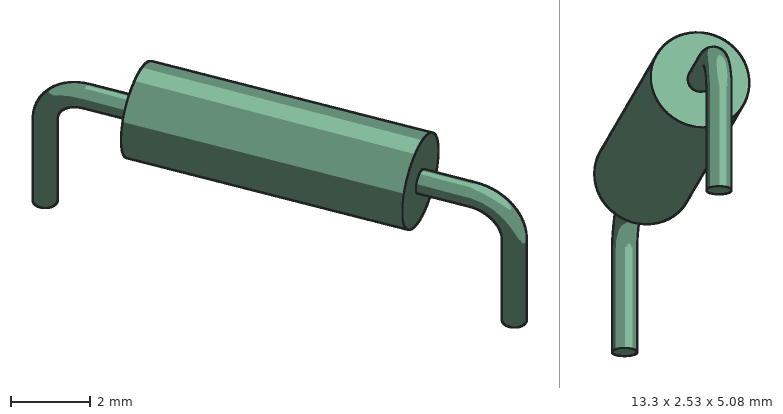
import cadquery as cq

total_length = 13.34
total_height = 5.08

body_length = 7.62
body_diameter = 2.53

wire_diameter = 0.64
bend_radius = 1.12

axis_height = total_height - body_diameter / 2
body_end = body_length / 2
lead_offset = (total_length - wire_diameter) / 2


def make_body():
    """Plain cylinder centred on the Z axis, lying along X."""
    return (
        cq.Workplane("YZ", origin=(-body_end, 0, axis_height))
        .circle(body_diameter / 2)
        .extrude(body_length)
    )


def make_lead(side):
    """Wire from a body end face, bent down to Z = 0; side is -1 or +1 along X."""
    wire_path = (
        cq.Workplane("XZ")
        .moveTo(side * lead_offset, 0)
        .lineTo(side * lead_offset, axis_height - bend_radius)
        .tangentArcPoint((side * (lead_offset - bend_radius), axis_height), relative=False)
        .lineTo(side * body_end, axis_height)
    )
    return (
        cq.Workplane("XY", origin=(side * lead_offset, 0, 0))
        .circle(wire_diameter / 2)
        .sweep(wire_path)
    )


body = make_body()
leads = [make_lead(side) for side in (-1, 1)]

result = cq.Compound.makeCompound([body.val(), *[lead.val() for lead in leads]])